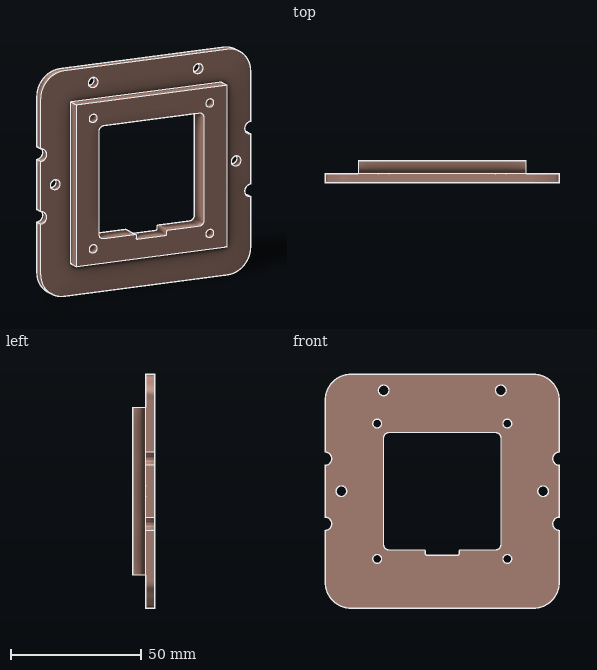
import cadquery as cq

plate_size = 90.0
plate_thickness = 3.5
plate_corner_radius = 10.0

block_size = 64.5
block_height = 5.0
total_depth = plate_thickness + block_height

window_size = 45.0
window_corner_radius = 2.0
relief_width = 13.0
relief_depth = 2.0
relief_corner_radius = 0.5

large_hole_diameter = 4.0
large_hole_offset = 38.75
top_hole_spacing = 45.0
small_hole_diameter = 3.3
small_hole_spacing_x = 50.0
small_hole_spacing_z = 52.0

edge_notch_diameter = 5.0
edge_notch_spacing = 25.0


def plane_at(y=0):
    """Work plane parallel to XZ at depth y, extruding toward +Y (local x runs along -X, local y along +Z)."""
    return cq.Workplane(cq.Plane(origin=(0, y, 0), xDir=(-1, 0, 0), normal=(0, 1, 0)))


def round_cut(points, diameter):
    """Cylinders through the full depth at the given points."""
    return plane_at().pushPoints(points).circle(diameter / 2).extrude(total_depth)


def mirrored(x, z_values):
    """Points at +x and -x for each height."""
    return [(side * x, z) for side in (-1, 1) for z in z_values]


def make_body():
    plate = plane_at().rect(plate_size, plate_size).extrude(plate_thickness)
    plate = plate.edges("|Y").fillet(plate_corner_radius)
    block = plane_at(plate_thickness).rect(block_size, block_size).extrude(block_height)
    return plate.union(block)


def make_window():
    window = plane_at().rect(window_size, window_size).extrude(total_depth)
    window = window.edges("|Y").fillet(window_corner_radius)
    relief_height = window_size / 2 + relief_depth
    relief = plane_at().center(0, -relief_height / 2).rect(relief_width, relief_height).extrude(total_depth)
    opening = window.union(relief)
    relief_corners = cq.selectors.BoxSelector(
        (-relief_width, 0, -relief_height - relief_depth / 2),
        (relief_width, total_depth, -window_size / 2 + relief_depth / 2),
    )
    return opening.edges("|Y").edges(relief_corners).fillet(relief_corner_radius)


top_holes = mirrored(top_hole_spacing / 2, [large_hole_offset])
side_holes = mirrored(large_hole_offset, [0])
small_holes = mirrored(small_hole_spacing_x / 2, [-small_hole_spacing_z / 2, small_hole_spacing_z / 2])
edge_notches = mirrored(plate_size / 2, [-edge_notch_spacing / 2, edge_notch_spacing / 2])

result = make_body().cut(make_window())
result = result.cut(round_cut(top_holes + side_holes, large_hole_diameter))
result = result.cut(round_cut(small_holes, small_hole_diameter))
result = result.cut(round_cut(edge_notches, edge_notch_diameter))